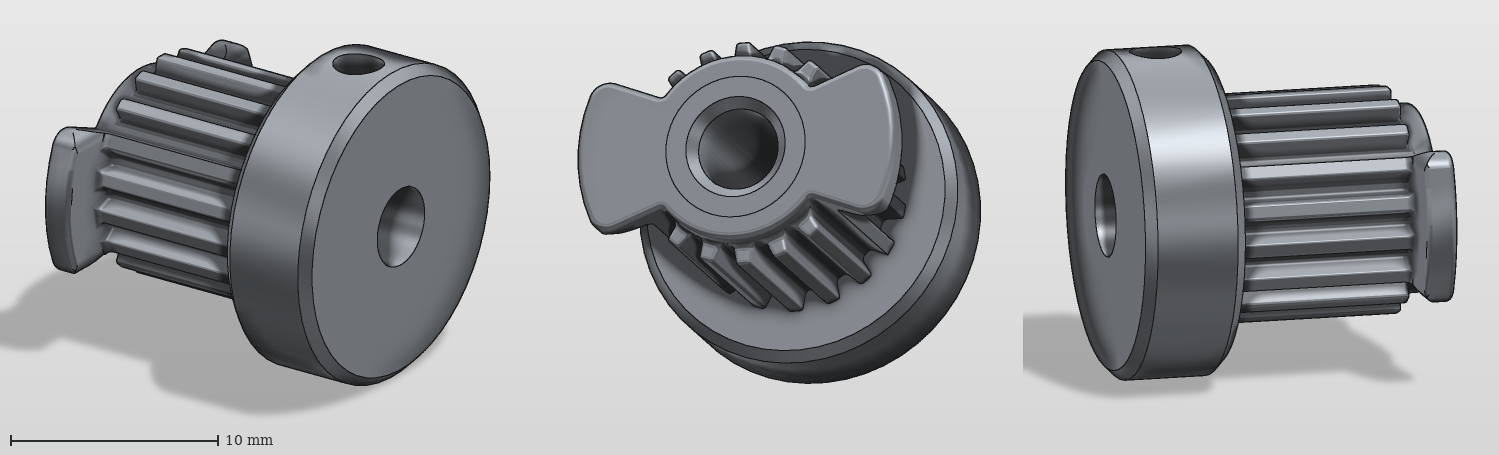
import cadquery as cq
import math

OVERALL_LENGTH = 15.5
OUTER_RADIUS = 8.0

DISC_LENGTH = 5.0
DISC_CHAMFER = 0.5
TUBE_RADIUS = 3.5
BORE_RADIUS = 2.0
BORE_CHAMFER = 0.5
SCREW_HOLE_RADIUS = 1.25

SLEEVE_LENGTH = OVERALL_LENGTH - DISC_LENGTH
ROOT_RADIUS = 4.6
TIP_RADIUS = 5.55
TOOTH_COUNT = 18
TOOTH_PITCH = 360 / TOOTH_COUNT
TOOTH_START = 1.3
TOOTH_EMBEDMENT = 0.32
TIP_HALF_WIDTH = 0.35
FLANK_ANGLE = 9.0
ROOT_FILLET = 0.3
TIP_FILLET = 0.2
WING_TOOTH_TIP_FILLET = 0.13

WING_THICKNESS = 1.5
WING_HALF_HEIGHT = 3.7
WING_CORNER_RADIUS = 1.02
WING_RIM_FILLET = 0.24
WING_END_ROUND = 0.85
FRONT_FILLET = 0.3
WING_EDGE_TOOTH_ANGLE = 3 * TOOTH_PITCH

CORNER_RADIUS = math.hypot(TIP_RADIUS, TIP_HALF_WIDTH)
TRIM_MARGIN = 1.6
TOLERANCE = 0.008


def cylinder(radius, start, end):
    return cq.Workplane("YZ", origin=(start, 0, 0)).circle(radius).extrude(end - start)


def same(a, b):
    return abs(a - b) < TOLERANCE


def middle_radius(edge):
    """Distance of an edge's middle from the X axis."""
    middle = edge.positionAt(0.5)
    return math.hypot(middle.y, middle.z)


def fillet_where(body, radius, condition):
    """Fillet every edge of the body that meets the condition."""
    chosen = [edge for edge in body.edges().vals() if condition(edge)]
    return body.newObject(chosen).fillet(radius)



def make_hub():
    disc = cylinder(OUTER_RADIUS, SLEEVE_LENGTH, OVERALL_LENGTH).edges().chamfer(DISC_CHAMFER)
    hub = disc.union(cylinder(TUBE_RADIUS, 0, SLEEVE_LENGTH))
    hub = hub.cut(cylinder(BORE_RADIUS, 0, OVERALL_LENGTH))
    bore_rim = hub.faces("<X").edges(cq.selectors.RadiusNthSelector(0))
    hub = bore_rim.chamfer(BORE_CHAMFER)
    return hub.cut(make_screw_hole())


def make_screw_hole():
    """Radial set screw hole from the top of the disc into the bore."""
    disc_middle = SLEEVE_LENGTH + DISC_LENGTH / 2
    return cq.Workplane("XY", origin=(disc_middle, 0, 0)).circle(SCREW_HOLE_RADIUS).extrude(OUTER_RADIUS)



def flank_half_width(radius):
    return TIP_HALF_WIDTH + (TIP_RADIUS - radius) * math.tan(math.radians(FLANK_ANGLE))


def make_tooth(angle):
    """Sharp-edged tooth at an angle from +Z, its foot sunk into the root cylinder."""
    foot_radius = ROOT_RADIUS - TOOTH_EMBEDMENT
    foot_half_width = flank_half_width(foot_radius)
    outline = [
        (-foot_half_width, foot_radius),
        (-TIP_HALF_WIDTH, TIP_RADIUS),
        (TIP_HALF_WIDTH, TIP_RADIUS),
        (foot_half_width, foot_radius),
    ]
    tooth = cq.Workplane("YZ", origin=(TOOTH_START, 0, 0)).polyline(outline).close()
    return tooth.extrude(SLEEVE_LENGTH - TOOTH_START).rotate((0, 0, 0), (1, 0, 0), angle)


def wing_side_point(radius):
    """Point (y, z) on the upper wing side, in line with a tooth flank."""
    angle = math.radians(WING_EDGE_TOOTH_ANGLE)
    half_width = flank_half_width(radius)
    y = radius * math.sin(angle) - half_width * math.cos(angle)
    z = radius * math.cos(angle) + half_width * math.sin(angle)
    return y, z


def make_wing():
    """Wing on the +Y side with rounded outer corners and a square rear edge."""
    inner_y, inner_z = wing_side_point(TUBE_RADIUS)
    outer_y, outer_z = wing_side_point(OUTER_RADIUS + TRIM_MARGIN)
    outline = [(inner_y, inner_z), (outer_y, outer_z), (outer_y, -outer_z), (inner_y, -inner_z)]
    wing = cq.Workplane("YZ").polyline(outline).close().extrude(WING_THICKNESS)
    wing = wing.intersect(cylinder(OUTER_RADIUS, 0, WING_THICKNESS))

    def is_outer_corner(edge):
        return same(middle_radius(edge), OUTER_RADIUS) and same(edge.Length(), WING_THICKNESS)

    return fillet_where(wing, WING_CORNER_RADIUS, is_outer_corner)


def is_root_edge(edge):
    """Where teeth and wing sides meet the root cylinder."""
    inside = TOLERANCE < edge.positionAt(0.5).x < SLEEVE_LENGTH - TOLERANCE
    return inside and same(middle_radius(edge), ROOT_RADIUS)


def is_wing_root_edge(edge):
    """Where the teeth and the root cylinder run into the rear face of a wing."""
    on_rear_face = all(same(edge.positionAt(t).x, WING_THICKNESS) for t in (0, 0.5))
    return on_rear_face and middle_radius(edge) < TIP_RADIUS + TOLERANCE


def is_free_tip_edge(edge):
    """Front and tip edges of the teeth between the wings."""
    box = edge.BoundingBox()
    radius = middle_radius(edge)
    on_front_face = same(box.xmin, TOOTH_START) and same(box.xmax, TOOTH_START)
    along_tip = same(box.xmin, TOOTH_START) and same(box.xmax, SLEEVE_LENGTH)
    above_root_fillet = radius > ROOT_RADIUS + ROOT_FILLET
    return (on_front_face and above_root_fillet) or (along_tip and same(radius, CORNER_RADIUS))


def is_wing_tip_edge(edge):
    """Tip edges of the teeth behind the wings, except the outermost, which stay sharp."""
    outermost_z = wing_side_point(TIP_RADIUS)[1]
    starts_at_wing = edge.BoundingBox().xmin > WING_THICKNESS
    below_outermost = abs(edge.positionAt(0.5).z) < outermost_z - TOLERANCE
    return starts_at_wing and below_outermost and same(middle_radius(edge), CORNER_RADIUS)


def make_wing_trim():
    """Material to remove behind the wings: rounds the outer rim and the +Z and -Z ends."""
    rim = cylinder(OUTER_RADIUS, 0, WING_THICKNESS).faces(">X").edges().fillet(WING_RIM_FILLET)
    ends = cq.Workplane("XY").box(
        WING_THICKNESS, 2 * (OUTER_RADIUS + TRIM_MARGIN), 2 * WING_HALF_HEIGHT, centered=(False, True, True)
    )
    ends = ends.edges("|Y and >X").fillet(WING_END_ROUND)
    trim = cylinder(OUTER_RADIUS + TRIM_MARGIN, 0, WING_THICKNESS).cut(rim.intersect(ends))
    return trim.cut(cylinder(TIP_RADIUS + ROOT_FILLET, 0, WING_THICKNESS))


def make_toothed_sleeve():
    sleeve = cylinder(ROOT_RADIUS, 0, SLEEVE_LENGTH)
    for index in range(TOOTH_COUNT):
        sleeve = sleeve.union(make_tooth(index * TOOTH_PITCH))
    wing = make_wing()
    sleeve = sleeve.union(wing).union(wing.mirror("XZ")).clean()

    sleeve = fillet_where(sleeve, ROOT_FILLET, lambda edge: is_root_edge(edge) or is_wing_root_edge(edge))
    sleeve = fillet_where(sleeve, TIP_FILLET, is_free_tip_edge)
    sleeve = fillet_where(sleeve, WING_TOOTH_TIP_FILLET, is_wing_tip_edge)
    sleeve = sleeve.faces("<X").edges().fillet(FRONT_FILLET)

    sleeve = sleeve.cut(make_wing_trim())
    return sleeve.cut(cylinder(TUBE_RADIUS, 0, SLEEVE_LENGTH))


hub = make_hub()
toothed_sleeve = make_toothed_sleeve()
result = cq.Compound.makeCompound([hub.val(), *toothed_sleeve.solids().vals()])